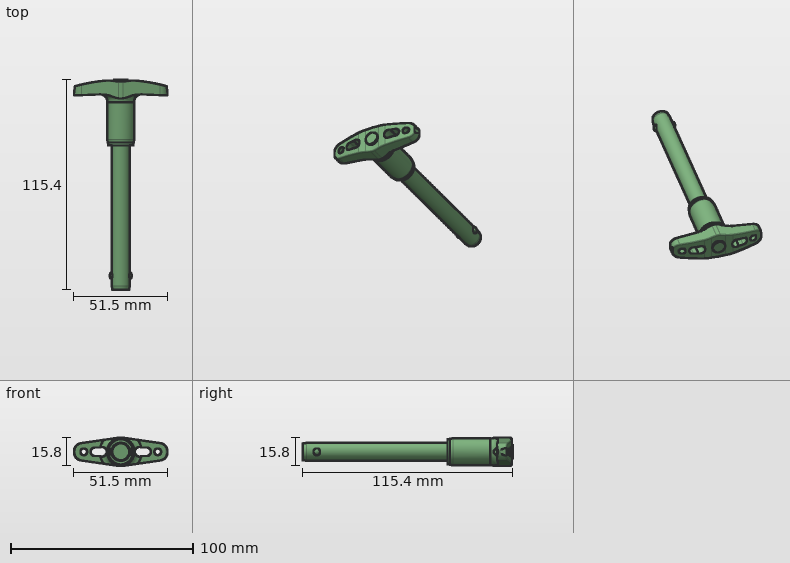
import cadquery as cq
import math


overall_length = 115.4
handle_length = 51.5
handle_width = 15.79

shank_radius = 5.0
tip_radius = 4.65
tip_taper_length = 2.2

ball_radius = 2.0
ball_offset = 4.15
ball_tip_distance = 7.8

sleeve_radius = 7.5
collar_radius = 7.2
collar_end_radius = 6.9
collar_step_height = 1.5
collar_height = 3.2

neck_radius = 7.35
neck_taper_length = 0.35
flare_radius = 4.1

button_top = 36.0
button_radius = 3.65
button_root_depth = 3.0
tip_y = button_top - overall_length

hub_radius = handle_width / 2
lobe_radius = 4.9
lobe_x = handle_length / 2 - lobe_radius
taper_angle = math.asin((hub_radius - lobe_radius) / lobe_x)

crown_y = button_top - 0.05
crown_end_x = 25.2
crown_radius = 92.0
underside_end_x = 25.95
underside_end_y = button_top - 8.75
underside_root_x = 11.5
underside_root_y = button_top - 8.15
flare_center_y = underside_root_y - flare_radius
flare_root_y = underside_root_y + 1.0
end_corner_radius = 0.9
crown_edge_radius = 0.5

hollow_floor_y = button_top - 1.05
hollow_radius = 20.0
hollow_ridge_radius = 15.0

cord_hole_x = 20.3
cord_hole_radius = 1.8
slot_inner_center_x = 10.3
slot_inner_radius = 2.6
slot_outer_center_x = 14.2
slot_radius = 2.3
opening_depth = button_top - flare_center_y


def crown_height(x):
    """Y of the crowned top of the handle at a given X."""
    return crown_y - crown_radius + math.sqrt(crown_radius**2 - x**2)


def make_pin_body():
    """Shank, collar, sleeve and neck flare, turned about the Y axis."""
    flare_center_x = neck_radius + flare_radius
    flare_mid = (
        flare_center_x - flare_radius * math.cos(math.pi / 4),
        flare_center_y + flare_radius * math.sin(math.pi / 4),
    )
    return (
        cq.Workplane("XY")
        .moveTo(0, tip_y)
        .lineTo(tip_radius, tip_y)
        .lineTo(shank_radius, tip_y + tip_taper_length)
        .lineTo(shank_radius, 0)
        .lineTo(collar_end_radius, 0)
        .lineTo(collar_end_radius, collar_step_height)
        .lineTo(collar_radius, collar_step_height)
        .lineTo(sleeve_radius, collar_height)
        .lineTo(sleeve_radius, flare_center_y - neck_taper_length)
        .lineTo(neck_radius, flare_center_y)
        .threePointArc(flare_mid, (flare_center_x, underside_root_y))
        .lineTo(flare_center_x, flare_root_y)
        .lineTo(0, flare_root_y)
        .close()
        .revolve(360, (0, 0, 0), (0, 1, 0))
    )


def hollow_half_width():
    """X where the hollow circle crosses the crown circle."""
    hollow_center_y = hollow_floor_y + hollow_radius
    crown_center_y = crown_y - crown_radius
    spacing = hollow_center_y - crown_center_y
    crossing = (spacing**2 + crown_radius**2 - hollow_radius**2) / (2 * spacing)
    return math.sqrt(crown_radius**2 - crossing**2)


def plan_prism():
    """Handle plan outline, extruded along the full pin height."""
    sine = math.sin(taper_angle)
    cosine = math.cos(taper_angle)
    hub_x = hub_radius * sine
    hub_z = hub_radius * cosine
    join_x = lobe_x + lobe_radius * sine
    join_z = lobe_radius * cosine
    end_x = handle_length / 2
    outline = (
        cq.Workplane("XZ", origin=(0, button_top, 0))
        .moveTo(-hub_x, hub_z)
        .threePointArc((0, hub_radius), (hub_x, hub_z))
        .lineTo(join_x, join_z)
        .threePointArc((end_x, 0), (join_x, -join_z))
        .lineTo(hub_x, -hub_z)
        .threePointArc((0, -hub_radius), (-hub_x, -hub_z))
        .lineTo(-join_x, -join_z)
        .threePointArc((-end_x, 0), (-join_x, join_z))
        .close()
    )
    return outline.extrude(overall_length)


def profile_prism():
    """Handle profile with crowned top, drafted ends and rounded lower corners."""
    crown_end_y = crown_height(crown_end_x)
    ridge_x = hollow_half_width()
    ridge_y = crown_height(ridge_x)
    crown_mid_x = (ridge_x + crown_end_x) / 2
    underside_slope = (underside_root_y - underside_end_y) / (underside_end_x - underside_root_x)
    underside_apex_y = underside_root_y + underside_slope * underside_root_x
    profile = (
        cq.Workplane("XY")
        .moveTo(-crown_end_x, crown_end_y)
        .threePointArc((-crown_mid_x, crown_height(crown_mid_x)), (-ridge_x, ridge_y))
        .threePointArc((0, hollow_floor_y), (ridge_x, ridge_y))
        .threePointArc((crown_mid_x, crown_height(crown_mid_x)), (crown_end_x, crown_end_y))
        .lineTo(underside_end_x, underside_end_y)
        .lineTo(0, underside_apex_y)
        .lineTo(-underside_end_x, underside_end_y)
        .close()
        .extrude(handle_width, both=True)
    )
    for side in (-1, 1):
        lower_corner = cq.selectors.NearestToPointSelector((side * underside_end_x, underside_end_y, 0))
        profile = profile.edges("|Z").edges(lower_corner).fillet(end_corner_radius)
        ridge = cq.selectors.NearestToPointSelector((side * ridge_x, ridge_y, 0))
        profile = profile.edges("|Z").edges(ridge).fillet(hollow_ridge_radius)
    return profile


def make_handle_bar(prism):
    """T-handle bar with its upper side edges rounded."""
    bar = prism.intersect(profile_prism())
    rim_box = cq.selectors.BoxSelector(
        (-handle_length / 2, crown_height(crown_end_x), -handle_width),
        (handle_length / 2, button_top, handle_width),
    )
    rim_edges = bar.edges(rim_box).edges("not(|Y or |Z)")
    return rim_edges.fillet(crown_edge_radius)


def make_handle_and_pin():
    """Join the pin to the handle, keeping the flare inside the handle outline."""
    prism = plan_prism()
    pin = make_pin_body()
    bar = make_handle_bar(prism)
    flare_band = (
        cq.Workplane("XZ", origin=(0, flare_root_y, 0))
        .circle(neck_radius + flare_radius)
        .extrude(flare_root_y - flare_center_y)
    )
    flare = pin.intersect(flare_band).intersect(prism)
    return pin.cut(flare_band).union(flare).union(bar)


def cylinder_along_y(x, start_y, radius, length):
    """Cylinder running toward -Y from the given start."""
    return cq.Workplane("XZ", origin=(x, start_y, 0)).circle(radius).extrude(length)


def cut_openings(body):
    """Cord hole and keyhole-shaped slot on each side of the handle."""
    slot_middle_x = (slot_inner_center_x + slot_outer_center_x) / 2
    slot_straight = slot_outer_center_x - slot_inner_center_x
    for side in (-1, 1):
        cord_hole = cylinder_along_y(side * cord_hole_x, button_top, cord_hole_radius, opening_depth)
        slot_eye = cylinder_along_y(
            side * slot_inner_center_x, button_top, slot_inner_radius, opening_depth
        )
        slot = (
            cq.Workplane("XZ", origin=(side * slot_middle_x, button_top, 0))
            .slot2D(slot_straight + 2 * slot_radius, 2 * slot_radius)
            .extrude(opening_depth)
        )
        body = body.cut(cord_hole).cut(slot_eye).cut(slot)
    return body


def add_button(body):
    """Round actuating button standing in the crown hollow."""
    return body.union(cylinder_along_y(0, button_top, button_radius, button_root_depth))


def add_locking_balls(body):
    """Pair of balls standing out of the shank near the tip."""
    for side in (-1, 1):
        center = (side * ball_offset, tip_y + ball_tip_distance, 0)
        body = body.union(cq.Workplane("XY").sphere(ball_radius).translate(center))
    return body


result = make_handle_and_pin()
result = cut_openings(result)
result = add_button(result)
result = add_locking_balls(result)